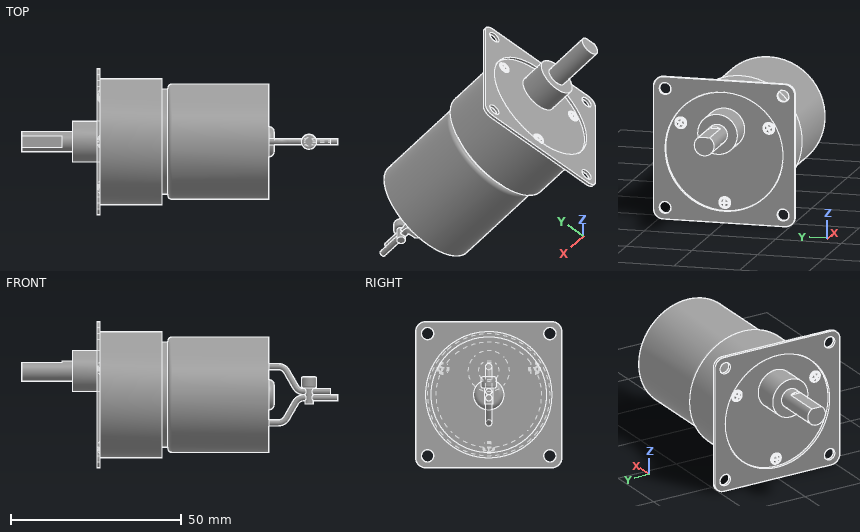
import cadquery as cq
import math


plate_side = 43.0
plate_thickness = 0.9
plate_corner_radius = 3.0
plate_opening_diameter = 36.0
mount_hole_diameter = 3.5
mount_hole_pitch = 36.0

gearbox_diameter = 37.2
gearbox_end = 19.1
neck_diameter = 31.0
neck_end = 20.8
can_diameter = 34.0
can_end = 50.55
can_front_radius = 1.3
rear_boss_diameter = 8.9
rear_boss_height = 1.6

shaft_offset = 7.0
shaft_diameter = 6.0
shaft_length = 22.1
shaft_flat_height = 2.5
shaft_flat_length = 11.8
hub_diameter = 12.1
hub_length = 7.25

screw_count = 3
screw_circle_radius = 15.5
screw_head_diameter = 3.5
screw_rim_height = 0.2
screw_collar_diameter = 3.1
screw_collar_height = 0.3
screw_dome_diameter = 2.5
screw_dome_height = 0.5
screw_slot_width = 0.3

wire_diameter = 1.9
wire_exit_height = 8.3
wire_overlap = 0.05
wire_joined_height = (wire_diameter - wire_overlap) / 2
wire_straight_length = 2.8
wire_bend_radius = 2.8
wire_bend_angle = 60.0
upper_wire_end = 68.7
lower_wire_end = 70.8

post_x = 62.35
post_diameter = 2.5
post_bottom = -2.8
cap_diameter = 4.5
cap_bottom = 1.95
cap_top = 5.3
cap_edge_radius = 0.6


def x_cylinder(diameter, start, end, height=0.0):
    """Cylinder along X between two positions, with its axis at the given Z."""
    return cq.Workplane("YZ", origin=(start, 0, height)).circle(diameter / 2).extrude(end - start)


def make_plate():
    plate = (
        cq.Workplane("YZ")
        .rect(plate_side, plate_side)
        .extrude(plate_thickness)
        .edges("|X")
        .fillet(plate_corner_radius)
    )
    holes = (
        cq.Workplane("YZ")
        .rect(mount_hole_pitch, mount_hole_pitch, forConstruction=True)
        .vertices()
        .circle(mount_hole_diameter / 2)
        .extrude(plate_thickness)
    )
    opening = x_cylinder(plate_opening_diameter, 0, plate_thickness)
    return plate.cut(holes).cut(opening)


def make_rear_boss():
    """Disc on the rear face whose rim is a quarter round over its whole height."""
    base_radius = rear_boss_diameter / 2
    tip_radius = base_radius - rear_boss_height
    round_offset = rear_boss_height * math.sin(math.radians(45))
    tip_x = can_end + rear_boss_height
    profile = (
        cq.Workplane("XY")
        .moveTo(can_end, 0)
        .lineTo(can_end, base_radius)
        .threePointArc((can_end + round_offset, tip_radius + round_offset), (tip_x, tip_radius))
        .lineTo(tip_x, 0)
        .close()
    )
    return profile.revolve(360, (0, 0, 0), (1, 0, 0))


def make_body():
    gearbox = x_cylinder(gearbox_diameter, plate_thickness, gearbox_end)
    neck = x_cylinder(neck_diameter, gearbox_end, neck_end)
    can = x_cylinder(can_diameter, neck_end, can_end).faces("<X").edges().fillet(can_front_radius)
    return gearbox.union(neck).union(can).union(make_rear_boss())


def make_shaft():
    """Hub and D-shaped shaft; the flat faces up."""
    hub = x_cylinder(hub_diameter, -hub_length, plate_thickness, shaft_offset)
    shaft = x_cylinder(shaft_diameter, -shaft_length, 0, shaft_offset)
    flat_cut = cq.Workplane("XY").box(
        shaft_flat_length, shaft_diameter, shaft_diameter, centered=(False, True, False)
    )
    flat_cut = flat_cut.translate((-shaft_length, 0, shaft_offset + shaft_flat_height))
    return hub.union(shaft.cut(flat_cut))


def make_screw(angle):
    """Screw head, stepped under a cross-slotted dome, turned about the motor axis from the bottom."""
    rim_front = plate_thickness - screw_rim_height
    collar_front = rim_front - screw_collar_height
    dome_front = collar_front - screw_dome_height
    dome_radius = screw_dome_diameter / 2
    sphere_radius = (dome_radius**2 + screw_dome_height**2) / (2 * screw_dome_height)
    sphere = cq.Workplane("XY").sphere(sphere_radius).translate((dome_front + sphere_radius, 0, 0))
    dome = x_cylinder(screw_dome_diameter, dome_front, plate_thickness).intersect(sphere)
    slot = cq.Workplane("YZ", origin=(dome_front, 0, 0)).rect(screw_dome_diameter, screw_slot_width)
    slot = slot.extrude(screw_dome_height)
    dome = dome.cut(slot).cut(slot.rotate((0, 0, 0), (1, 0, 0), 90))
    rim = x_cylinder(screw_head_diameter, rim_front, plate_thickness)
    collar = x_cylinder(screw_collar_diameter, collar_front, plate_thickness)
    head = rim.union(collar).union(dome)
    return head.translate((0, 0, -screw_circle_radius)).rotate((0, 0, 0), (1, 0, 0), angle)


def make_wire(side, end):
    """Wire leaving the can, bent towards the motor axis and back; side is 1 above and -1 below."""
    angle = math.radians(wire_bend_angle)
    bend_x = wire_bend_radius * math.sin(angle)
    bend_drop = wire_bend_radius * (1 - math.cos(angle))
    half_x = wire_bend_radius * math.sin(angle / 2)
    half_drop = wire_bend_radius * (1 - math.cos(angle / 2))
    slope_drop = wire_exit_height - wire_joined_height - 2 * bend_drop
    first_bend = can_end + wire_straight_length
    slope_start = first_bend + bend_x
    slope_end = slope_start + slope_drop / math.tan(angle)
    second_bend_end = slope_end + bend_x

    path = (
        cq.Workplane("XZ")
        .moveTo(can_end, side * wire_exit_height)
        .lineTo(first_bend, side * wire_exit_height)
        .threePointArc(
            (first_bend + half_x, side * (wire_exit_height - half_drop)),
            (slope_start, side * (wire_exit_height - bend_drop)),
        )
        .lineTo(slope_end, side * (wire_joined_height + bend_drop))
        .threePointArc(
            (second_bend_end - half_x, side * (wire_joined_height + half_drop)),
            (second_bend_end, side * wire_joined_height),
        )
        .lineTo(end, side * wire_joined_height)
    )
    section = cq.Workplane("YZ", origin=(can_end, 0, side * wire_exit_height))
    return section.circle(wire_diameter / 2).sweep(path)


def make_post():
    post = cq.Workplane("XY", origin=(post_x, 0, post_bottom)).circle(post_diameter / 2)
    post = post.extrude(cap_bottom - post_bottom)
    cap = cq.Workplane("XY", origin=(post_x, 0, cap_bottom)).circle(cap_diameter / 2)
    cap = cap.extrude(cap_top - cap_bottom).edges().fillet(cap_edge_radius)
    return post.union(cap)


result = make_plate().union(make_body()).union(make_shaft())
for index in range(screw_count):
    result = result.union(make_screw(index * 360 / screw_count))
result = result.union(make_wire(1, upper_wire_end)).union(make_wire(-1, lower_wire_end))
result = result.union(make_post())